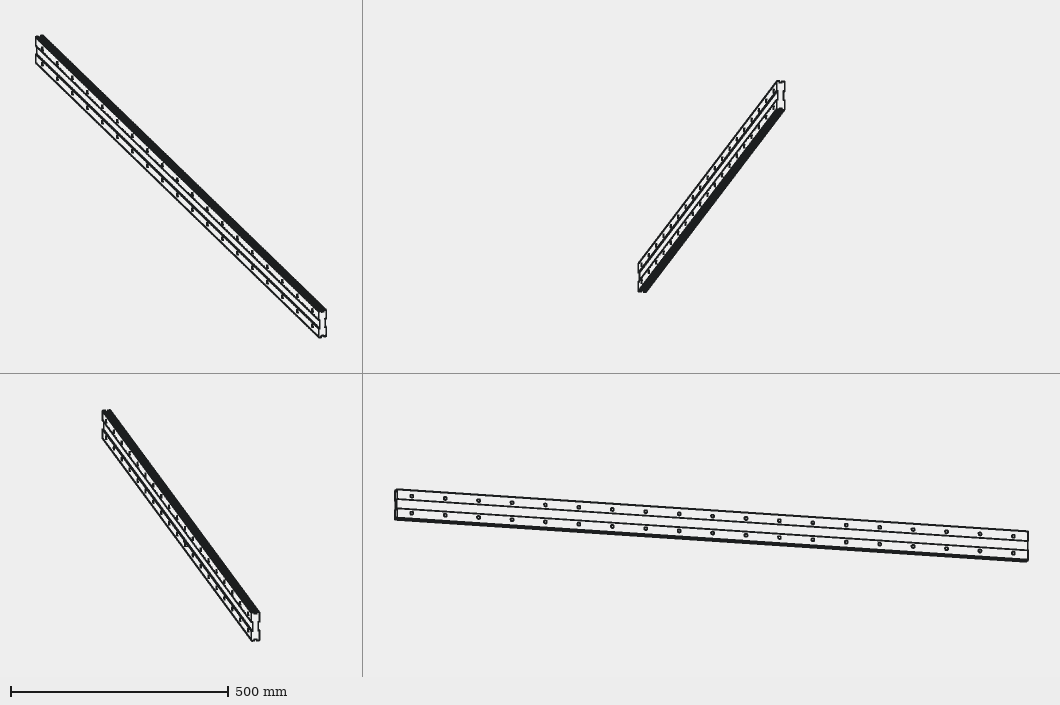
import cadquery as cq

length = 1510.0
thickness = 19.0
height = 69.0

recess_height = 22.0
web_thickness = 14.0

groove_mouth = 7.0
groove_floor = 5.0
groove_depth = 3.5

hole_count = 19
hole_pitch = 80.0
row_spacing = 40.0
row_count = 2
hole_diameter = 7.0

edge_chamfer = 1.5


def rail_body():
    """Solid bar centred on the origin."""
    return cq.Workplane("XY").box(length, thickness, height)


def face_recesses():
    """Rectangular channels along the middle of the front and back faces."""
    recess_depth = (thickness - web_thickness) / 2
    recess_offset = (web_thickness + recess_depth) / 2
    return (
        cq.Workplane("XY")
        .pushPoints([(0, -recess_offset), (0, recess_offset)])
        .box(length, recess_depth, recess_height)
    )


def edge_groove(side):
    """Flat-bottomed groove along the top edge (side = 1) or the bottom edge (side = -1)."""
    edge = side * height / 2
    floor = edge - side * groove_depth
    return (
        cq.Workplane("YZ")
        .moveTo(-groove_mouth / 2, edge)
        .lineTo(groove_mouth / 2, edge)
        .lineTo(groove_floor / 2, floor)
        .lineTo(-groove_floor / 2, floor)
        .close()
        .extrude(length / 2, both=True)
    )


def chamfer_corners(rail):
    """Bevel the long outer corners where the broad faces meet the edges."""
    return rail.edges("|X").edges("<Y or >Y").edges("<Z or >Z").chamfer(edge_chamfer)


def mounting_holes(rail):
    """Two rows of holes drilled through the thickness."""
    return (
        rail.copyWorkplane(cq.Workplane("XZ", origin=(0, -thickness / 2, 0)))
        .rarray(hole_pitch, row_spacing, hole_count, row_count)
        .hole(hole_diameter)
    )


body = rail_body().cut(face_recesses())
for side in (1, -1):
    body = body.cut(edge_groove(side))
result = mounting_holes(chamfer_corners(body))